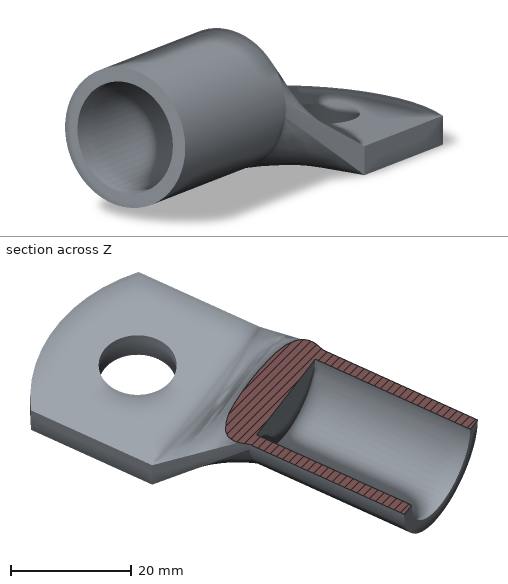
import cadquery as cq
import math

barrel_diameter = 24.0
bore_diameter = 19.1
barrel_length = 29.95
barrel_radius = barrel_diameter / 2
overall_height = 26.0
barrel_axis_z = overall_height - barrel_radius

overall_length = 74.5
palm_width = 35
palm_thickness = 5.0
palm_start_y = 45.4
palm_shoulder_y = 68.8
hole_diameter = 13.0
hole_to_tip = 15.95

lower_corner_z = 12.7
upper_corner_z = 15.1

seam_rim_z = 8.2
seam_palm_inset = 4.7


neck_waists = [(0.25, 0.7), (0.6, 3.4)]


def rim_point(height, side):
    """Point on the barrel's inner end rim at a height, side is -1 or 1."""
    half_chord = math.sqrt(barrel_radius**2 - (height - barrel_axis_z)**2)
    return cq.Vector(side * half_chord, barrel_length, height)


def make_barrel():
    """Solid barrel, its axis along Y and its mouth at Y = 0."""
    return (
        cq.Workplane("XZ", origin=(0, 0, barrel_axis_z))
        .circle(barrel_radius)
        .extrude(-barrel_length)
    )


def blend(starts, ends, fraction):
    """Points lying a fraction of the way from each start to its end."""
    return [start + (end - start) * fraction for start, end in zip(starts, ends)]


def arc_loop(corners, arc_middles):
    """Closed wire of arcs through the corners and the middle point of each side."""
    ends = corners[1:] + corners[:1]
    arcs = []
    for start, middle, end in zip(corners, arc_middles, ends):
        arcs.append(cq.Edge.makeThreePointArc(start, middle, end))
    return cq.Wire.assembleEdges(arcs)


def make_neck():
    """Transition from the round barrel to the rectangular palm, with a sunken top."""
    half_width = palm_width / 2
    center = cq.Vector(0, barrel_length, barrel_axis_z)

    palm_corners = [
        cq.Vector(-half_width, palm_start_y, palm_thickness),
        cq.Vector(-half_width, palm_start_y, 0),
        cq.Vector(-half_width + seam_palm_inset, palm_start_y, 0),
        cq.Vector(half_width, palm_start_y, 0),
        cq.Vector(half_width, palm_start_y, palm_thickness),
    ]
    rim_corners = [
        rim_point(upper_corner_z, -1),
        rim_point(lower_corner_z, -1),
        rim_point(seam_rim_z, -1),
        rim_point(lower_corner_z, 1),
        rim_point(upper_corner_z, 1),
    ]

    rim_middles = []
    palm_middles = []
    for i in range(len(rim_corners)):
        following = (i + 1) % len(rim_corners)
        palm_middles.append((palm_corners[i] + palm_corners[following]) * 0.5)
        chord_middle = (rim_corners[i] + rim_corners[following]) * 0.5
        rim_middles.append(center + (chord_middle - center).normalized() * barrel_radius)

    sections = [arc_loop(rim_corners, rim_middles)]
    for fraction, dip in neck_waists:
        corners = blend(rim_corners, palm_corners, fraction)
        middles = blend(rim_middles, palm_middles, fraction)
        middles[-1] -= cq.Vector(0, 0, dip)
        sections.append(arc_loop(corners, middles))
    sections.append(cq.Wire.makePolygon(palm_corners, close=True))
    return cq.Workplane(cq.Solid.makeLoft(sections))


def make_palm():
    """Flat plate with a rounded tip."""
    half_width = palm_width / 2
    return (
        cq.Workplane("XY")
        .moveTo(-half_width, palm_start_y)
        .lineTo(half_width, palm_start_y)
        .lineTo(half_width, palm_shoulder_y)
        .threePointArc((0, overall_length), (-half_width, palm_shoulder_y))
        .close()
        .extrude(palm_thickness)
    )


bore = (
    cq.Workplane("XZ", origin=(0, 0, barrel_axis_z))
    .circle(bore_diameter / 2)
    .extrude(-barrel_length)
)

bolt_hole = (
    cq.Workplane("XY")
    .center(0, overall_length - hole_to_tip)
    .circle(hole_diameter / 2)
    .extrude(palm_thickness)
)

result = make_barrel().union(make_neck()).union(make_palm()).cut(bore).cut(bolt_hole)